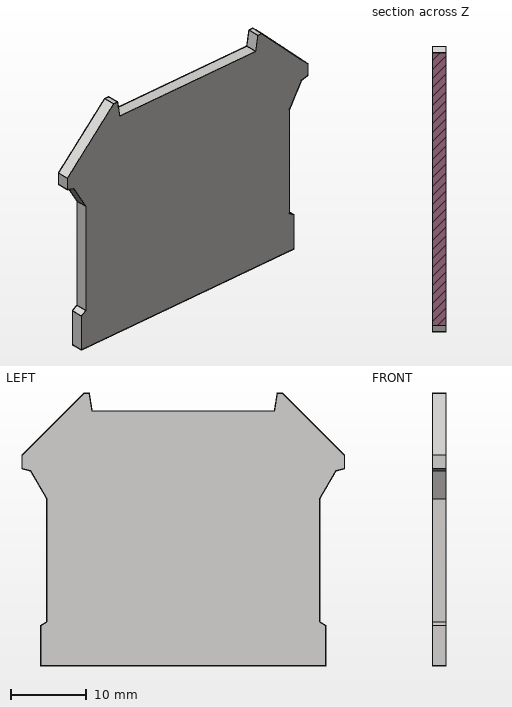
import cadquery as cq

thickness = 1.8
width = 42.5
height = 35.9

foot_width = 37.55
foot_height = 5.3
body_width = 35.95
foot_bevel_height = 0.5
body_top = 22.0

underside_width = 40.2
underside_top = 25.65
lip_height = 0.3
flank_size = 8.15

horn_tip_width = 0.72
recess_floor_width = 23.95
recess_depth = 2.35

horn_outer = width / 2 - flank_size

half_outline = [
    (foot_width / 2, 0),
    (foot_width / 2, foot_height),
    (body_width / 2, foot_height + foot_bevel_height),
    (body_width / 2, body_top),
    (underside_width / 2, underside_top),
    (width / 2, underside_top + lip_height),
    (width / 2, height - flank_size),
    (horn_outer, height),
    (horn_outer - horn_tip_width, height),
    (recess_floor_width / 2, height - recess_depth),
]
mirrored_outline = [(-y, z) for y, z in reversed(half_outline)]

result = (
    cq.Workplane("YZ")
    .polyline(half_outline + mirrored_outline)
    .close()
    .extrude(thickness / 2, both=True)
)